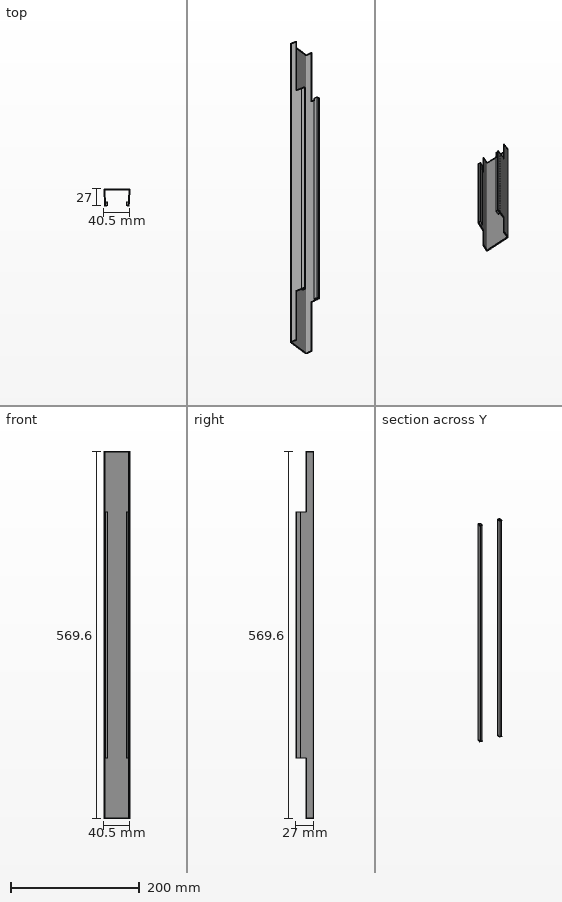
import cadquery as cq
import math

channel_width = 40.54
channel_depth = 27.0
channel_length = 569.6
sheet_thickness = 1.5
outer_bend_radius = 2.0
inner_bend_radius = outer_bend_radius - sheet_thickness

flange_lean = math.radians(3.0)
lean_sin = math.sin(flange_lean)
lean_cos = math.cos(flange_lean)

deep_flange_height = channel_depth / lean_cos
low_flange_height = 11.7
deep_flange_length = 383.0

bend_centre_height = outer_bend_radius * (1 + lean_sin) / lean_cos
bend_centre_inset = bend_centre_height * lean_sin + outer_bend_radius * lean_cos
web_half_width = channel_width / 2 - outer_bend_radius + bend_centre_inset

strip_thickness = 3.0
strip_width = 6.0
strip_tip_setback = 0.5
strip_length = deep_flange_length


def flange_point(side, height, inset):
    """XY point at a height along a flange (from the sharp bend corner) and an inset from its outer face."""
    x = web_half_width - height * lean_sin - inset * lean_cos
    y = -height * lean_cos + inset * lean_sin
    return (side * x, y)


def extrude_outline(points, length):
    """Prism along Z, centred on Z = 0."""
    return cq.Workplane("XY").polyline(points).close().extrude(length / 2, both=True)


def make_channel_section(flange_height, length):
    """U-section with both bends rounded, web back face on Y = 0."""
    inner_corner_height = sheet_thickness * (1 + lean_sin) / lean_cos
    half_outline = [
        (0, 0),
        (flange_height, 0),
        (flange_height, sheet_thickness),
        (inner_corner_height, sheet_thickness),
    ]
    right_half = [flange_point(1, height, inset) for height, inset in half_outline]
    left_half = [(-x, y) for x, y in reversed(right_half)]
    section = extrude_outline(right_half + left_half, length)
    section = section.edges("|Z and >Y").fillet(outer_bend_radius)
    web_inner_face = section.faces(cq.selectors.NearestToPointSelector((0, -sheet_thickness, 0)))
    return web_inner_face.edges("|Z").fillet(inner_bend_radius)


def make_channel():
    """Full-length low channel joined with the deep middle stretch."""
    low_section = make_channel_section(low_flange_height, channel_length)
    deep_section = make_channel_section(deep_flange_height, deep_flange_length)
    return low_section.union(deep_section)


def make_strip(side):
    """Strip against the inner face of one flange (+1 at +X, -1 at -X)."""
    front = deep_flange_height - strip_tip_setback
    back = front - strip_width
    inner_face = sheet_thickness + strip_thickness
    outline = [
        (back, sheet_thickness),
        (front, sheet_thickness),
        (front, inner_face),
        (back, inner_face),
    ]
    return extrude_outline([flange_point(side, *corner) for corner in outline], strip_length)


channel = make_channel()
strips = [make_strip(side) for side in (-1, 1)]

result = cq.Compound.makeCompound([channel.val(), *[strip.val() for strip in strips]])